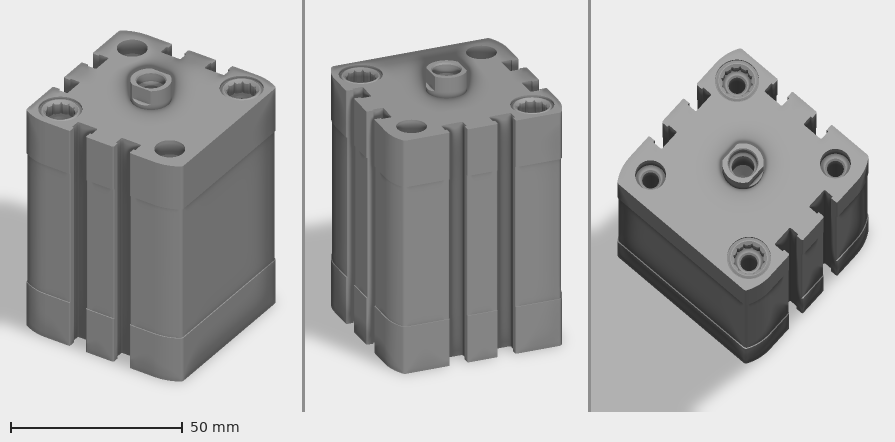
import cadquery as cq
import math

SIDE = 54.5
TOTAL_HEIGHT = 81.7
ROD_PROJECTION = 6.5
BODY_HEIGHT = TOTAL_HEIGHT - ROD_PROJECTION
CAP_HEIGHT = 15.0
TUBE_INSET = 0.3
HALF = SIDE / 2

HOLE_OFFSET = 19.0
THROUGH_DIAMETER = 4.9
HOLE_MOUTH_DIAMETER = 6.0
RECESS_DIAMETER = 9.0
RECESS_DEPTH = 4.9

CORNER_ARC_RADIUS = 14.7
CORNER_ROUND = 1.2

SLOT_OFFSET = 7.6
SLOT_OPENING = 5.55
SLOT_WIDTH = 6.9
SLOT_DEPTH = 5.4
SLOT_LIP = 2.2
SLOT_LIP_ROUND = 0.4
SLOT_FLOOR_ROUND = 0.4

SOCKET_DIAMETER = 8.5
SOCKET_DEPTH = 4.6
SOCKET_RIM_DIAMETER = 12.8
SOCKET_GROOVE_DEPTH = 0.7
SOCKET_RING_DIAMETER = 11.9
SOCKET_RING_TOP_DIAMETER = 10.8
SOCKET_RING_INNER_DIAMETER = 10.45
SOCKET_RING_DEPTH = 0.25
SPLINE_COUNT = 12
SPLINE_OUTER_DIAMETER = 9.5

ROD_DIAMETER = 12.0
ROD_SEAT_DEPTH = CAP_HEIGHT
FLAT_SPACING = 10.1
FLAT_HEIGHT = 4.7
LEDGE_DROP = 0.5
ROD_MOUTH_DIAMETER = 9.0
ROD_MOUTH_DEPTH = 0.5
ROD_BORE_DIAMETER = 8.4
ROD_BORE_DEPTH = 3.3
ROD_PILOT_DIAMETER = 6.6
ROD_PILOT_DEPTH = 13.1
DRILL_POINT_ANGLE = 118.0


def profile(half, height, bottom):
    """Square bar whose four corners are eased by a wide arc."""
    arc_angle = math.asin((half - HOLE_OFFSET) / CORNER_ARC_RADIUS)

    def drop(angle):
        return CORNER_ARC_RADIUS * (1 - math.cos(angle))

    tangent_x = HOLE_OFFSET
    end_y = half - drop(arc_angle)
    mid_x = HOLE_OFFSET + CORNER_ARC_RADIUS * math.sin(arc_angle / 2)
    mid_y = half - drop(arc_angle / 2)
    bar = (
        cq.Workplane("XY", origin=(0, 0, bottom))
        .moveTo(-tangent_x, half)
        .lineTo(tangent_x, half)
        .threePointArc((mid_x, mid_y), (half, end_y))
        .lineTo(half, -end_y)
        .threePointArc((mid_x, -mid_y), (tangent_x, -half))
        .lineTo(-tangent_x, -half)
        .threePointArc((-mid_x, -mid_y), (-half, -end_y))
        .lineTo(-half, end_y)
        .threePointArc((-mid_x, mid_y), (-tangent_x, half))
        .close()
        .extrude(height)
    )
    corner_edges = cq.selectors.BoxSelector(
        (-half - 0.8, -end_y - 0.8, bottom), (half + 0.8, end_y + 0.8, bottom + height)
    )
    return bar.edges("|Z").edges(corner_edges).fillet(CORNER_ROUND)


def t_slot(half, height, bottom):
    """T-slot along Z in the -Y side at X = 0, with flared lips and rounded floor corners."""
    opening = SLOT_OPENING / 2
    wide = SLOT_WIDTH / 2
    mouth = opening + SLOT_LIP_ROUND
    step_y = -HALF + SLOT_LIP
    floor_y = -HALF + SLOT_DEPTH
    round_y = -half + SLOT_LIP_ROUND
    flare = SLOT_LIP_ROUND * (1 - math.sqrt(0.5))
    slot = (
        cq.Workplane("XY", origin=(0, 0, bottom))
        .moveTo(-mouth, -half)
        .threePointArc((-opening - flare, -half + flare), (-opening, round_y))
        .lineTo(-opening, step_y)
        .lineTo(-wide, step_y)
        .lineTo(-wide, floor_y)
        .lineTo(wide, floor_y)
        .lineTo(wide, step_y)
        .lineTo(opening, step_y)
        .lineTo(opening, round_y)
        .threePointArc((opening + flare, -half + flare), (mouth, -half))
        .close()
        .extrude(height)
    )
    return slot.faces(">Y").edges("|Z").fillet(SLOT_FLOOR_ROUND)


def slotted_section(half, height, bottom):
    """Length of the body with two T-slots in each side except +X."""
    section = profile(half, height, bottom)
    slot = t_slot(half, height, bottom)
    for turn in (0, 180, 270):
        for x in (-SLOT_OFFSET, SLOT_OFFSET):
            section = section.cut(slot.translate((x, 0, 0)).rotate((0, 0, 0), (0, 0, 1), turn))
    return section


def revolved_cutter(half_outline):
    """Round cutter about Z from (radius, height) points that start and end on the axis."""
    return cq.Workplane("XZ").polyline(half_outline).close().revolve(360, (0, 0, 0), (0, 1, 0))


def hole_below(depth):
    """Points of the chamfered through hole from a recess floor to the base, ending on the axis."""
    floor = BODY_HEIGHT - depth
    mouth = HOLE_MOUTH_DIAMETER / 2
    bore = THROUGH_DIAMETER / 2
    return [(mouth, floor), (bore, floor - (mouth - bore)), (bore, 0), (0, 0)]


def plain_hole():
    recess = RECESS_DIAMETER / 2
    floor = BODY_HEIGHT - RECESS_DEPTH
    outline = [(0, BODY_HEIGHT), (recess, BODY_HEIGHT), (recess, floor)]
    return revolved_cutter(outline + hole_below(RECESS_DEPTH))


def splined_hole():
    """Splined socket with a 45 degree lead-in, inside a sunk ring that a narrow groove surrounds."""
    floor = BODY_HEIGHT - SOCKET_DEPTH
    ring = BODY_HEIGHT - SOCKET_RING_DEPTH
    groove_floor = BODY_HEIGHT - SOCKET_GROOVE_DEPTH
    wall = SOCKET_DIAMETER / 2
    ring_inner = SOCKET_RING_INNER_DIAMETER / 2
    outline = [
        (0, BODY_HEIGHT),
        (SOCKET_RIM_DIAMETER / 2, BODY_HEIGHT),
        (SOCKET_RIM_DIAMETER / 2, groove_floor),
        (SOCKET_RING_DIAMETER / 2, groove_floor),
        (SOCKET_RING_TOP_DIAMETER / 2, ring),
        (ring_inner, ring),
        (wall, ring - (ring_inner - wall)),
        (wall, floor),
    ]
    cutter = revolved_cutter(outline + hole_below(SOCKET_DEPTH))
    tip = SPLINE_OUTER_DIAMETER / 2
    groove = cq.Workplane("XY", origin=(0, 0, floor)).polyline([(0, -tip), (tip, 0), (0, tip)]).close()
    groove = groove.extrude(ring - floor)
    for i in range(SPLINE_COUNT):
        cutter = cutter.union(groove.rotate((0, 0, 0), (0, 0, 1), i * 360 / SPLINE_COUNT))
    return cutter


def make_housing():
    top_cap_bottom = BODY_HEIGHT - CAP_HEIGHT
    tube_height = top_cap_bottom - CAP_HEIGHT
    housing = slotted_section(HALF, CAP_HEIGHT, 0)
    housing = housing.union(slotted_section(HALF - TUBE_INSET, tube_height, CAP_HEIGHT))
    housing = housing.union(slotted_section(HALF, CAP_HEIGHT, top_cap_bottom))
    for side in (-1, 1):
        housing = housing.cut(plain_hole().translate((side * HOLE_OFFSET, -side * HOLE_OFFSET, 0)))
        housing = housing.cut(splined_hole().translate((side * HOLE_OFFSET, side * HOLE_OFFSET, 0)))
    seat_bottom = BODY_HEIGHT - ROD_SEAT_DEPTH
    seat = cq.Workplane("XY", origin=(0, 0, seat_bottom)).circle(ROD_DIAMETER / 2).extrude(ROD_SEAT_DEPTH)
    return housing.cut(seat)


def rod_bore():
    """Stepped blind bore from the rod end, closed by a drill point."""
    mouth = ROD_MOUTH_DIAMETER / 2
    bore = ROD_BORE_DIAMETER / 2
    pilot = ROD_PILOT_DIAMETER / 2
    bore_floor = TOTAL_HEIGHT - ROD_BORE_DEPTH
    pilot_floor = TOTAL_HEIGHT - ROD_PILOT_DEPTH
    point_height = pilot / math.tan(math.radians(DRILL_POINT_ANGLE / 2))
    return revolved_cutter([
        (0, TOTAL_HEIGHT),
        (mouth, TOTAL_HEIGHT),
        (bore, TOTAL_HEIGHT - ROD_MOUTH_DEPTH),
        (bore, bore_floor),
        (pilot, bore_floor - (bore - pilot)),
        (pilot, pilot_floor),
        (0, pilot_floor - point_height),
    ])


def make_rod():
    bottom = BODY_HEIGHT - ROD_SEAT_DEPTH
    length = TOTAL_HEIGHT - bottom
    rod = cq.Workplane("XY", origin=(0, 0, bottom)).circle(ROD_DIAMETER / 2).extrude(length)
    radius = ROD_DIAMETER / 2
    flat_y = FLAT_SPACING / 2
    ledge = TOTAL_HEIGHT - FLAT_HEIGHT
    flat_outline = [
        (flat_y, TOTAL_HEIGHT),
        (radius, TOTAL_HEIGHT),
        (radius, ledge - LEDGE_DROP),
        (flat_y, ledge),
    ]
    flat = cq.Workplane("YZ").polyline(flat_outline).close().extrude(radius, both=True)
    for turn in (0, 180):
        rod = rod.cut(flat.rotate((0, 0, 0), (0, 0, 1), turn))
    return rod.cut(rod_bore())


housing = make_housing()
rod = make_rod()

result = cq.Compound.makeCompound([housing.val(), rod.val()])